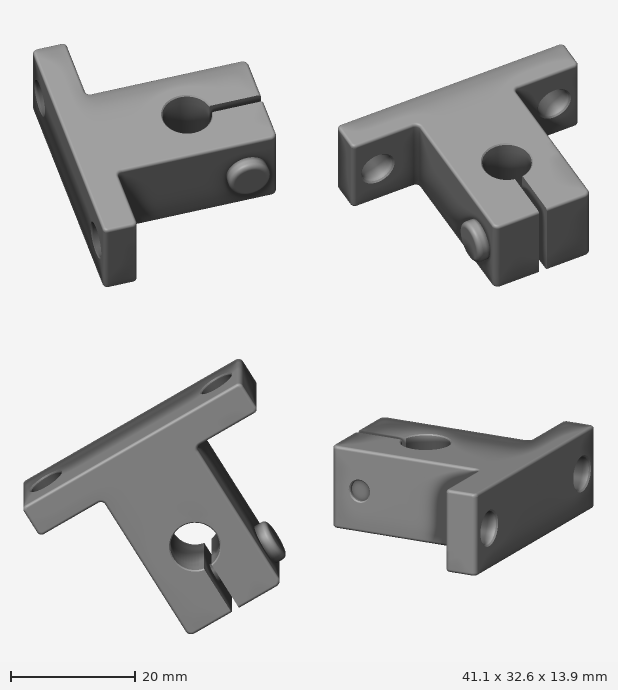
import cadquery as cq

base_length = 41.13
base_depth = 5.7
total_depth = 32.6
thickness = 13.9
column_width = 17.5

column_corner_radius = 1.05
base_corner_radius = 0.8
inner_corner_radius = 0.8
edge_radius = 0.5

bore_diameter = 8.0
bore_rim_chamfer = 0.2
bore_y = 20.0
slot_width = 1.4

mount_hole_diameter = 5.6
mount_hole_spacing = 32.0
mount_rim_chamfer = 0.25

screw_y = 27.45
screw_diameter = 3.5
screw_rim_chamfer = 0.2
screw_tip_recess = 0.75
head_diameter = 6.9
head_height = 2.05
head_fillet = 0.8


def round_corners(block, half_width, y, radius):
    """Round the two upright edges of the block at X = +/- half_width and the given Y."""
    reach = 0.01
    corners = cq.selectors.BoxSelector(
        (-half_width - reach, y - reach, -thickness),
        (half_width + reach, y + reach, thickness),
    )
    return block.edges("|Z").edges(corners).fillet(radius)


def make_block():
    """T-shaped block, lying flat, with its mounting face on Y = 0."""
    base = cq.Workplane("XY").box(base_length, base_depth, thickness, centered=(True, False, True))
    column = cq.Workplane("XY").box(column_width, total_depth, thickness, centered=(True, False, True))
    block = base.union(column)
    block = round_corners(block, column_width / 2, total_depth, column_corner_radius)
    block = round_corners(block, column_width / 2, base_depth, inner_corner_radius)
    block = round_corners(block, base_length / 2, 0, base_corner_radius)
    block = round_corners(block, base_length / 2, base_depth, base_corner_radius)
    return block.faces("<Z or >Z").edges().fillet(edge_radius)


def rimmed_hole(diameter, length, rim_chamfer):
    """Cutter along Z from Z = 0 for a through hole with a chamfered rim at each end."""
    radius = diameter / 2
    rim_radius = radius + rim_chamfer
    return (
        cq.Workplane("XZ")
        .lineTo(rim_radius, 0)
        .lineTo(radius, rim_chamfer)
        .lineTo(radius, length - rim_chamfer)
        .lineTo(rim_radius, length)
        .lineTo(0, length)
        .close()
        .revolve(360, (0, 0, 0), (0, 1, 0))
    )


def cut_bore_and_slot(block):
    bore = rimmed_hole(bore_diameter, thickness, bore_rim_chamfer).translate((0, bore_y, -thickness / 2))
    slot_length = total_depth - bore_y
    slot = cq.Workplane("XY").box(slot_width, slot_length, thickness, centered=(True, False, True))
    return block.cut(bore).cut(slot.translate((0, bore_y, 0)))


def cut_mounting_holes(block):
    hole = rimmed_hole(mount_hole_diameter, base_depth, mount_rim_chamfer)
    hole = hole.rotate((0, 0, 0), (1, 0, 0), -90)
    for side in (-1, 1):
        block = block.cut(hole.translate((side * mount_hole_spacing / 2, 0, 0)))
    return block


def cut_screw_hole(block):
    hole = rimmed_hole(screw_diameter, column_width, screw_rim_chamfer)
    hole = hole.rotate((0, 0, 0), (0, 1, 0), 90)
    return block.cut(hole.translate((-column_width / 2, screw_y, 0)))


def make_screw():
    """Clamping screw along X, its head bearing on the +X side of the column."""
    head = cq.Workplane("YZ").circle(head_diameter / 2).extrude(head_height)
    head = head.faces(">X").edges().fillet(head_fillet)
    shank_length = column_width - screw_tip_recess
    shank = cq.Workplane("YZ").circle(screw_diameter / 2).extrude(-shank_length)
    return head.union(shank).translate((column_width / 2, screw_y, 0))


block = make_block()
block = cut_bore_and_slot(block)
block = cut_mounting_holes(block)
block = cut_screw_hole(block)
result = block.union(make_screw())